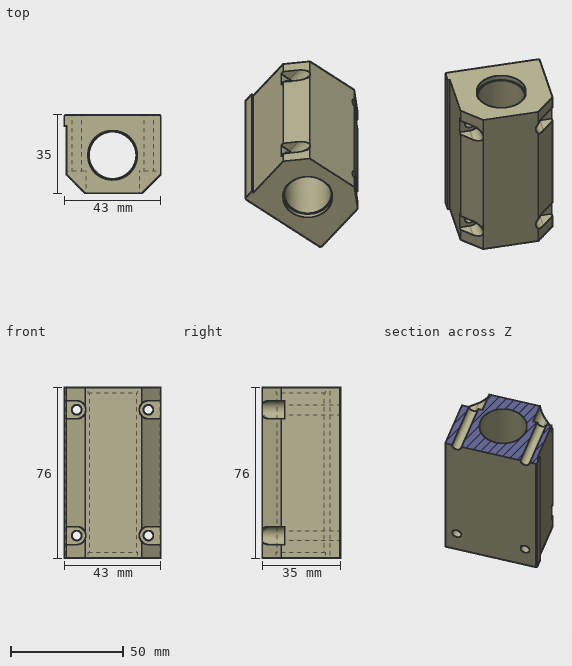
import cadquery as cq

width = 43.0
depth = 35.0
height = 76.0
axis_to_front = 17.0

lip_overhang = 1.0
lip_depth = 5.0
front_chamfer = 8.4
back_chamfer = 0.5

bore_diameter = 21.0
counterbore_diameter = 22.05
counterbore_depth = 2.5

hole_diameter = 4.25
hole_spacing_x = 31.9
hole_spacing_z = 56.0
pocket_width = 8.05
pocket_floor_depth = 10.0

front = -axis_to_front
back = front + depth
right = width / 2
lip_left = -width / 2
body_left = lip_left + lip_overhang


def make_body():
    """Extruded block with chamfered front corners and a lip on the back left."""
    return (
        cq.Workplane("XY")
        .moveTo(body_left + front_chamfer, front)
        .lineTo(right - front_chamfer, front)
        .lineTo(right, front + front_chamfer)
        .lineTo(right, back - back_chamfer)
        .lineTo(right - back_chamfer, back)
        .lineTo(lip_left + back_chamfer, back)
        .lineTo(lip_left, back - back_chamfer)
        .lineTo(lip_left, back - lip_depth)
        .lineTo(body_left, back - lip_depth)
        .lineTo(body_left, front + front_chamfer)
        .close()
        .extrude(height)
    )


def make_bore():
    """Through bore and the counterbores at both ends."""
    bore = cq.Workplane("XY").circle(bore_diameter / 2).extrude(height)
    for base in (0, height - counterbore_depth):
        counterbore = (
            cq.Workplane("XY", origin=(0, 0, base))
            .circle(counterbore_diameter / 2)
            .extrude(counterbore_depth)
        )
        bore = bore.union(counterbore)
    return bore


def make_screw_hole(side, z):
    """Through hole along Y and its round-ended pocket, open to the given side (-1 or 1)."""
    x = side * hole_spacing_x / 2
    front_plane = cq.Workplane("XZ", origin=(x, front, z))
    hole = front_plane.circle(hole_diameter / 2).extrude(-depth)
    round_end = front_plane.circle(pocket_width / 2).extrude(-pocket_floor_depth)
    opening_length = width / 2 - hole_spacing_x / 2
    opening = (
        front_plane.center(side * opening_length / 2, 0)
        .rect(opening_length, pocket_width)
        .extrude(-pocket_floor_depth)
    )
    return hole.union(round_end).union(opening)


result = make_body().cut(make_bore())
for side in (-1, 1):
    for z_direction in (-1, 1):
        z = height / 2 + z_direction * hole_spacing_z / 2
        result = result.cut(make_screw_hole(side, z))